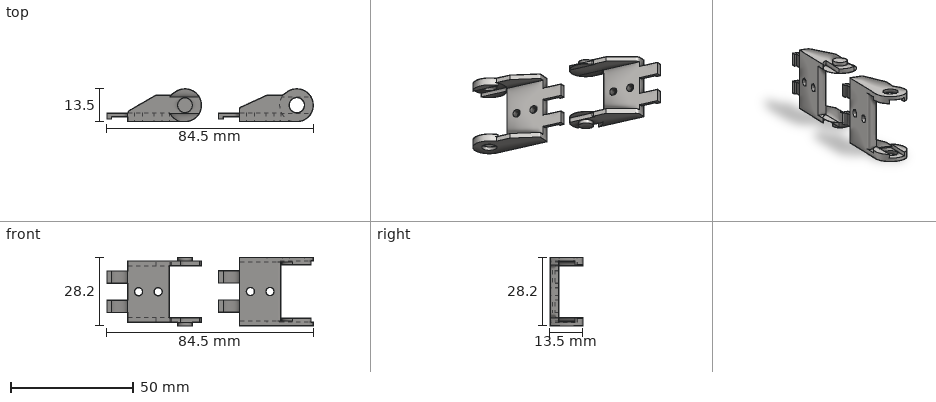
import cadquery as cq
import math

pivot_y = 6.75
knuckle_radius = pivot_y
pin_pivot_x = 31.9
eye_pivot_x = 77.7

plate_thickness = 3.55
arm_thickness = 2.0
arm_top_y = 10.9
ramp_foot_offset = 5.8
band_half_width = 3.4
lock_radius = 7.0
screw_diameter = 3.2
screw_spacing = 8.0
screw_inset = 4.5
tab_width = 5.1
tab_offset = 6.0
tab_thickness = 1.5
tab_root = 0.85
hook_drop = 1.0

pin_tip_x = 0.0
pin_root_x = 8.4
pin_plate_end_x = 25.5
pin_slope_top_x = 20.0
pin_slope_foot_y = 4.2
pin_nose_radius = 2.0
pin_hook_length = 1.85
pin_mid_height = 14.1
pin_link_height = 25.15
pin_diameter = 6.0
pin_span = 28.2
web_thickness = 0.1

eye_tip_x = 45.6
eye_root_x = 54.2
eye_plate_end_x = 71.2
eye_slope_top_x = 65.4
eye_slope_foot_y = 5.7
eye_nose_radius = 1.0
eye_hook_length = 2.0
eye_mid_height = 14.2
eye_link_height = 28.0
eye_diameter = 6.2
eye_band_thickness = 1.5
eye_step_thickness = 3.1
plate_end_radius = 1.2


def disc(x, radius, bottom, height):
    """Cylinder around a pivot axis at the given X."""
    return cq.Workplane("XY", origin=(x, pivot_y, bottom)).circle(radius).extrude(height)


def band(x, bottom, height):
    """Straight locking band, wide enough in X to cross the whole knuckle."""
    length = 4 * knuckle_radius
    return (
        cq.Workplane("XY", origin=(x, pivot_y, bottom))
        .rect(length, 2 * band_half_width)
        .extrude(height)
    )


def side_profile(root_x, slope_foot_y, slope_top_x, nose_radius, pivot_x, bottom, height):
    """Link outline seen along the pivot: sloped arm ending in a round knuckle."""
    flat_rise = arm_top_y - pivot_y
    foot_angle = math.atan2(flat_rise, ramp_foot_offset)
    tangent_angle = math.pi - foot_angle - math.acos(
        knuckle_radius / math.hypot(ramp_foot_offset, flat_rise)
    )
    ramp_end = (
        pivot_x + knuckle_radius * math.cos(tangent_angle),
        pivot_y + knuckle_radius * math.sin(tangent_angle),
    )
    return (
        cq.Workplane("XY", origin=(0, 0, bottom))
        .moveTo(root_x, 0)
        .lineTo(pivot_x, 0)
        .threePointArc((pivot_x + knuckle_radius, pivot_y), (pivot_x, pivot_y + knuckle_radius))
        .radiusArc(ramp_end, -knuckle_radius)
        .lineTo(pivot_x - ramp_foot_offset, arm_top_y)
        .lineTo(slope_top_x, arm_top_y)
        .lineTo(root_x, slope_foot_y)
        .close()
        .extrude(height)
        .edges(cq.NearestToPointSelector((root_x, slope_foot_y, bottom + height / 2)))
        .fillet(nose_radius)
    )


def inner_space(plate_end_x, pivot_x, mid_height, height):
    """Space to remove between the arms: behind the plate and beyond its end."""
    reach_x = pivot_x + 2 * knuckle_radius
    reach_y = 3 * knuckle_radius
    gap = height - 2 * arm_thickness
    bottom = mid_height - gap / 2
    behind = cq.Workplane("XY").box(reach_x, reach_y, gap, centered=False)
    behind = behind.translate((0, plate_thickness, bottom))
    beyond = cq.Workplane("XY").box(reach_x - plate_end_x, reach_y, gap, centered=False)
    beyond = beyond.translate((plate_end_x, -knuckle_radius, bottom))
    return behind.union(beyond)


def hooked_tabs(tip_x, root_x, hook_length, mid_height):
    """Two flat tabs with a hook at the tip, level with the back of the plate."""
    under_y = plate_thickness - tab_thickness
    outline = [
        (tip_x, plate_thickness),
        (tip_x, under_y - hook_drop),
        (tip_x + hook_length, under_y - hook_drop),
        (tip_x + hook_length, under_y),
        (root_x + tab_root, under_y),
        (root_x + tab_root, plate_thickness),
    ]
    tabs = cq.Workplane("XY")
    for side in (-1, 1):
        bottom = mid_height + side * tab_offset - tab_width / 2
        tab = cq.Workplane("XY", origin=(0, 0, bottom)).polyline(outline).close().extrude(tab_width)
        tabs = tabs.add(tab)
    return tabs.combine()


def screw_holes(root_x, mid_height):
    """Two holes through the plate along Y."""
    first_x = root_x + screw_inset
    return (
        cq.Workplane("XZ")
        .pushPoints([(first_x + i * screw_spacing, mid_height) for i in range(2)])
        .circle(screw_diameter / 2)
        .extrude(-plate_thickness)
    )


def with_mirror(upper, mid_height):
    """The given upper feature together with its copy below the mid height."""
    return upper.union(upper.mirror("XY", (0, 0, mid_height)))


def make_pin_link():
    bottom = pin_mid_height - pin_link_height / 2
    top = pin_mid_height + pin_link_height / 2
    body = side_profile(
        pin_root_x, pin_slope_foot_y, pin_slope_top_x, pin_nose_radius,
        pin_pivot_x, bottom, pin_link_height,
    )
    body = body.cut(inner_space(pin_plate_end_x, pin_pivot_x, pin_mid_height, pin_link_height))

    recess_depth = arm_thickness - web_thickness
    recess_bottom = top - recess_depth
    recess = disc(pin_pivot_x, lock_radius, recess_bottom, recess_depth)
    recess = recess.cut(band(pin_pivot_x, recess_bottom, recess_depth))
    body = body.cut(with_mirror(recess, pin_mid_height))

    pin_length = (pin_span - pin_link_height) / 2
    pin = disc(pin_pivot_x, pin_diameter / 2, top, pin_length)
    body = body.union(with_mirror(pin, pin_mid_height))

    body = body.union(hooked_tabs(pin_tip_x, pin_root_x, pin_hook_length, pin_mid_height))
    return body.cut(screw_holes(pin_root_x, pin_mid_height))


def make_eye_link():
    bottom = eye_mid_height - eye_link_height / 2
    top = eye_mid_height + eye_link_height / 2
    profile = side_profile(
        eye_root_x, eye_slope_foot_y, eye_slope_top_x, eye_nose_radius,
        eye_pivot_x, bottom, eye_link_height,
    )
    body = profile.cut(inner_space(eye_plate_end_x, eye_pivot_x, eye_mid_height, eye_link_height))

    end_edge = cq.NearestToPointSelector((eye_plate_end_x, 0, eye_mid_height))
    body = body.edges(end_edge).fillet(plate_end_radius)

    step_bottom = top - eye_step_thickness
    step_height = eye_step_thickness - eye_band_thickness
    lock_disc = disc(eye_pivot_x, lock_radius, step_bottom, step_height)
    channel = band(eye_pivot_x, step_bottom, step_height)
    body = body.cut(with_mirror(lock_disc, eye_mid_height))
    body = body.union(with_mirror(lock_disc.cut(channel), eye_mid_height).intersect(profile))

    body = body.cut(disc(eye_pivot_x, eye_diameter / 2, bottom, eye_link_height))

    body = body.union(hooked_tabs(eye_tip_x, eye_root_x, eye_hook_length, eye_mid_height))
    return body.cut(screw_holes(eye_root_x, eye_mid_height))


pin_link = make_pin_link()
eye_link = make_eye_link()

result = cq.Compound.makeCompound([pin_link.val(), eye_link.val()])